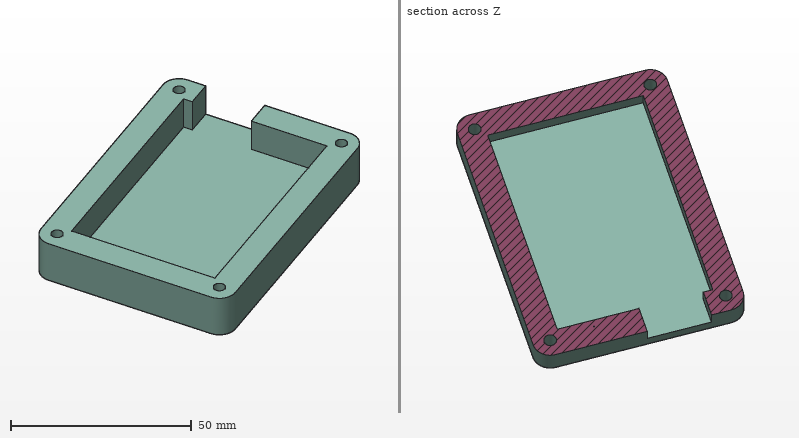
import cadquery as cq

width = 61.0
length = 82.6
height = 13.0
corner_radius = 5.0

wall = 8.0
floor_thickness = 3.0
pocket_depth = height - floor_thickness
pocket_width = width - 2 * wall
pocket_length = length - 2 * wall

opening_offset = 10.7
opening_width = 18.5

hole_diameter = 3.4
hole_spacing_x = width - 2 * corner_radius
hole_spacing_y = length - 2 * corner_radius


def make_block():
    block = cq.Workplane("XY").box(width, length, height, centered=(True, True, False))
    return block.edges("|Z").fillet(corner_radius)


def make_pocket():
    return (
        cq.Workplane("XY")
        .workplane(offset=floor_thickness)
        .rect(pocket_width, pocket_length)
        .extrude(pocket_depth)
    )


def make_opening():
    left = -width / 2 + opening_offset
    inner_face = pocket_length / 2
    return (
        cq.Workplane("XY")
        .box(opening_width, wall, pocket_depth, centered=False)
        .translate((left, inner_face, floor_thickness))
    )


def make_screw_holes():
    return (
        cq.Workplane("XY")
        .rect(hole_spacing_x, hole_spacing_y, forConstruction=True)
        .vertices()
        .circle(hole_diameter / 2)
        .extrude(height)
    )


result = make_block().cut(make_pocket()).cut(make_opening()).cut(make_screw_holes())